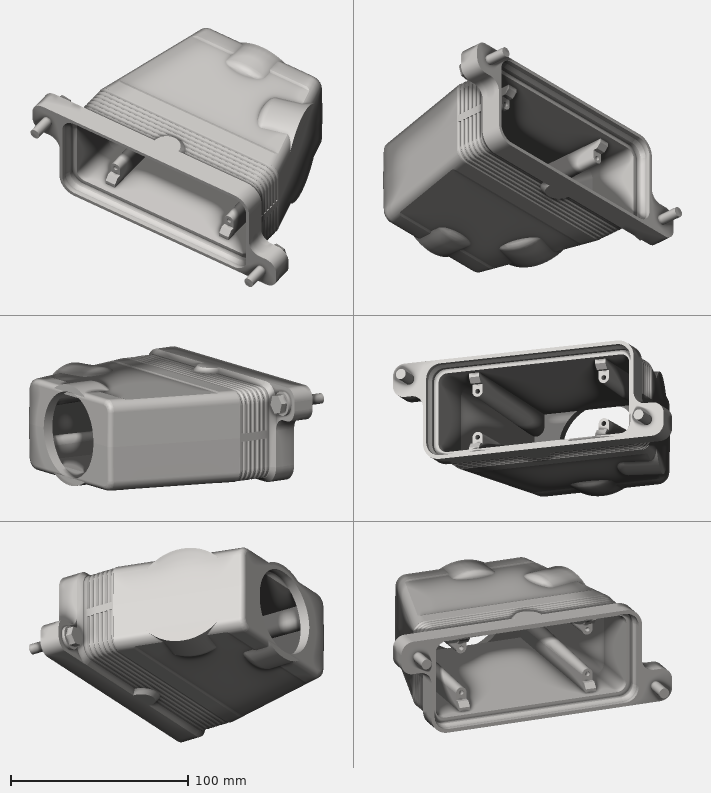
import math

import cadquery as cq


total_width = 165.5
total_height = 58.0
flange_width = 128.8
flange_thickness = 12.4
flange_corner_radius = 10.1
ear_height = 19.5
ear_corner_radius = 7.1

neck_width = 122.5
neck_height = 52.6
neck_corner_radius = 7.6
neck_end = 35.0
groove_count = 6
groove_band_length = 18.2
groove_depth = 0.7
groove_floor_width = 0.8
groove_start = 16.2
rib_free_strip = 4.6
bevel_angle = 45.0

side_angle = 15.0
draft_angle = 1.0
back = 110.2
hood_edge_radius = 6.6
back_edge_radius = 3.1
panel_depth = 0.5
panel_start = 43.4
panel_end = 99.1
panel_ramp = 1.7

boss_radius = total_height / 2
boss_blend_radius = 6.0
boss_cone_angle = 45.0
boss_core_radius = 21.5
back_boss_face = 109.5
back_boss_straight = 16.9
side_boss_straight = 19.5
side_boss_slope_distance = 41.5
side_boss_inset = 0.3
entry_hole_radius = 24.8

pad_radius = 8.0

lip_mouth_width = 124.8
lip_mouth_height = 53.6
lip_corner_radius = 8.5
lip_step = 1.3
lip_mouth_depth = 3.0
lip_ramp_depth = 2.6
lip_depth = 8.3
cavity_mouth_width = 116.5
cavity_mouth_height = 46.0
cavity_back_height = 41.7
cavity_bend = 38.7
cavity_bend_width = 114.5
cavity_edge_radius = 5.3
cavity_back = 104.3

post_x = 38.5
post_z = 13.4
post_face = 18.2
post_tip_radius = 3.1
post_base_radius = 5.0
post_root_z = 24.0
post_hole_diameter = 2.8
post_hole_depth = 10.0
tab_front = 12.9
tab_shelf_front = 15.5
tab_slope_start_z = 17.5
tab_slope_end_z = 20.5
tab_root = 26.5
wall_overlap = 1.7

screw_x = 72.7
screw_z = 19.4
screw_diameter = 6.0
screw_tip = -12.7
washer_diameter = 13.9
washer_thickness = 1.8
head_corner_diameter = 11.5
head_height = 3.8
head_turn = 48.5

overshoot = 3.3

half_width = total_width / 2
half_height = total_height / 2
neck_half_height = neck_height / 2
groove_pitch = groove_band_length / groove_count
slope = math.tan(math.radians(side_angle))
neck_chamfer = half_height - neck_half_height
side_normal = (math.cos(math.radians(side_angle)), math.sin(math.radians(side_angle)))


def across(y):
    """Plane across the hood axis; local x, y are X, Z. Negative extrusion goes toward +Y."""
    return cq.Workplane("XZ", origin=(0, y, 0))


def rounded_prism(width, height, radius, start, length, taper=0):
    """Rounded rectangle extruded toward +Y; a positive taper narrows it on the way."""
    outline = cq.Sketch().rect(width, height).vertices().fillet(radius)
    return across(start).placeSketch(outline).extrude(-length, taper=taper)


def box_between(x_size, z_size, y_start, y_end):
    """Centred block spanning y_start to y_end."""
    return across(y_start).rect(x_size, z_size).extrude(y_start - y_end)


def make_ear():
    """Upper left ear, reaching from the flange centre to the left end."""
    neck_x = -flange_width / 2
    ear_bottom = half_height - ear_height
    radius = ear_corner_radius
    ear = (
        across(0)
        .moveTo(0, half_height)
        .lineTo(-half_width, half_height)
        .lineTo(-half_width, ear_bottom)
        .lineTo(neck_x - radius, ear_bottom)
        .radiusArc((neck_x, ear_bottom - radius), radius)
        .lineTo(0, ear_bottom - radius)
        .close()
        .extrude(-flange_thickness)
    )
    return ear.edges("|Y and <X").fillet(radius)


def make_flange():
    plate = rounded_prism(flange_width, total_height, flange_corner_radius, 0, flange_thickness)
    ear = make_ear()
    opposite_ear = ear.rotate((0, 0, 0), (0, 1, 0), 180)
    transition = rounded_prism(
        flange_width, total_height, flange_corner_radius,
        flange_thickness, neck_chamfer, taper=bevel_angle,
    )
    return plate.union(ear).union(opposite_ear).union(transition)


def make_groove_cutter():
    """One trapezoidal groove around the neck, interrupted at the middle of both short sides."""
    floor_width = neck_width - 2 * groove_depth
    floor_height = neck_height - 2 * groove_depth
    floor_radius = neck_corner_radius - groove_depth
    floor_start = groove_depth
    floor_end = floor_start + groove_floor_width
    mouth = floor_end + groove_depth
    narrowing = rounded_prism(
        neck_width, neck_height, neck_corner_radius, 0, groove_depth, taper=bevel_angle
    )
    floor = rounded_prism(floor_width, floor_height, floor_radius, floor_start, groove_floor_width)
    widening = narrowing.mirror("XZ").translate((0, mouth, 0))
    waist = narrowing.union(floor).union(widening)
    frame = box_between(neck_width + overshoot, neck_height + overshoot, 0, mouth)
    strip = box_between(neck_width + 2 * overshoot, rib_free_strip, 0, mouth)
    return frame.cut(waist).cut(strip)


def make_neck():
    neck = rounded_prism(
        neck_width, neck_height, neck_corner_radius, flange_thickness, neck_end - flange_thickness
    )
    cutter = make_groove_cutter()
    mouth = groove_floor_width + 2 * groove_depth
    first = groove_start + (groove_pitch - mouth) / 2
    for index in range(groove_count):
        neck = neck.cut(cutter.translate((0, first + index * groove_pitch, 0)))
    return neck


def make_hood_half():
    """Upper half of the hood: drafted trapezoid with rounded edges."""
    start = neck_end - overshoot
    half_start = neck_width / 2 + overshoot * slope
    half_back = neck_width / 2 - (back - neck_end) * slope
    half = (
        cq.Workplane("XY")
        .polyline([(-half_start, start), (half_start, start), (half_back, back), (-half_back, back)])
        .close()
        .extrude(neck_half_height, taper=draft_angle)
    )
    half = half.faces(">Z").edges("not |X").fillet(hood_edge_radius)
    half = half.faces(">Y").edges("not <Z").fillet(back_edge_radius)
    return half.intersect(box_between(total_width, total_height, neck_end, back + overshoot))


def make_panel_cutter():
    """Shallow recess with ramped ends across the upper hood face."""
    floor_z = neck_half_height - panel_depth
    return (
        cq.Workplane("YZ", origin=(-half_width, 0, 0))
        .polyline([
            (panel_start, neck_half_height),
            (panel_start + panel_ramp, floor_z),
            (panel_end - panel_ramp, floor_z),
            (panel_end, neck_half_height),
        ])
        .close()
        .extrude(total_width)
    )


def make_hood():
    upper = make_hood_half().cut(make_panel_cutter())
    return upper.union(upper.mirror("XY"))


def make_boss(face_centre, outward, straight):
    """Cable entry boss: flat outer face, straight cylinder, then a blended cone going inward."""
    inward = (-outward[0], -outward[1], 0)
    plane = cq.Plane(origin=face_centre, xDir=(0, 0, 1), normal=(-inward[1], inward[0], 0))

    def blend_point(angle):
        angle = math.radians(angle)
        radius = boss_radius - boss_blend_radius * (1 - math.cos(angle))
        return radius, straight + boss_blend_radius * math.sin(angle)

    cone_radius, cone_start = blend_point(boss_cone_angle)
    cone_length = (cone_radius - boss_core_radius) / math.tan(math.radians(boss_cone_angle))
    cone_end = cone_start + cone_length
    return (
        cq.Workplane(plane)
        .lineTo(boss_radius, 0)
        .lineTo(boss_radius, straight)
        .threePointArc(blend_point(boss_cone_angle / 2), (cone_radius, cone_start))
        .lineTo(boss_core_radius, cone_end)
        .lineTo(0, cone_end)
        .close()
        .revolve(360, (0, 0), (0, 1))
    )


def make_side_boss():
    along_x = -side_normal[1] * side_boss_slope_distance - side_normal[0] * side_boss_inset
    along_y = side_normal[0] * side_boss_slope_distance - side_normal[1] * side_boss_inset
    face_centre = (neck_width / 2 + along_x, neck_end + along_y, 0)
    return make_boss(face_centre, side_normal, side_boss_straight)


def make_pad():
    """Conical pad rising from the neck to the flange height."""
    return (
        cq.Workplane("XY", origin=(0, flange_thickness, half_height))
        .circle(pad_radius)
        .extrude(-neck_chamfer, taper=-bevel_angle)
    )


def make_lip_recess():
    """Stepped seal recess around the mouth."""
    inner_width = lip_mouth_width - 2 * lip_step
    inner_height = lip_mouth_height - 2 * lip_step
    inner_radius = lip_corner_radius - lip_step
    ramp_angle = math.degrees(math.atan2(lip_step, lip_ramp_depth))
    mouth = rounded_prism(
        lip_mouth_width, lip_mouth_height, lip_corner_radius, 0, lip_mouth_depth
    )
    ramp = rounded_prism(
        lip_mouth_width, lip_mouth_height, lip_corner_radius,
        lip_mouth_depth, lip_ramp_depth, taper=ramp_angle,
    )
    inner = rounded_prism(inner_width, inner_height, inner_radius, 0, lip_depth)
    return mouth.union(ramp).union(inner)


def make_cavity(margin=0):
    """Inner space following the sloping sides, slightly lower toward the back.

    A margin widens and heightens it on every side, so that it reaches into the walls.
    """
    half_mouth = cavity_mouth_width / 2 + margin
    half_bend = cavity_bend_width / 2 + margin
    half_back = half_bend - (cavity_back - cavity_bend) * slope
    plan = (
        cq.Workplane("XY", origin=(0, 0, -half_height))
        .polyline([
            (-half_mouth, lip_depth), (half_mouth, lip_depth), (half_bend, cavity_bend),
            (half_back, cavity_back), (-half_back, cavity_back), (-half_bend, cavity_bend),
        ])
        .close()
        .extrude(total_height)
    )
    half_low = cavity_mouth_height / 2 + margin
    half_deep = cavity_back_height / 2 + margin
    profile = (
        cq.Workplane("YZ", origin=(-half_width, 0, 0))
        .polyline([
            (lip_depth, -half_low), (cavity_back, -half_deep),
            (cavity_back, half_deep), (lip_depth, half_low),
        ])
        .close()
        .extrude(total_width)
    )
    cavity = plan.intersect(profile)
    return cavity.edges("not (|X or |Z)").fillet(cavity_edge_radius)


def post_outline(plane, radius):
    """Round-ended outline running into the upper wall."""
    return (
        plane
        .moveTo(post_x - radius, post_root_z)
        .lineTo(post_x - radius, post_z)
        .threePointArc((post_x, post_z - radius), (post_x + radius, post_z))
        .lineTo(post_x + radius, post_root_z)
        .close()
    )


def make_post():
    """Drafted screw post at +X, +Z with a stepped, sloped tab next to the wall."""
    tip = post_outline(across(post_face), post_tip_radius).wires().val()
    base = post_outline(across(cavity_back), post_base_radius).wires().val()
    post = cq.Workplane(cq.Solid.makeLoft([tip, base], True))
    tab = (
        cq.Workplane("YZ", origin=(post_x - post_tip_radius, 0, 0))
        .polyline([
            (tab_root, tab_slope_start_z), (tab_shelf_front, tab_slope_start_z),
            (tab_front, tab_slope_end_z), (tab_front, post_root_z), (tab_root, post_root_z),
        ])
        .close()
        .extrude(2 * post_tip_radius)
    )
    hole = (
        across(post_face).center(post_x, post_z)
        .circle(post_hole_diameter / 2).extrude(-post_hole_depth)
    )
    return post.union(tab).cut(hole).intersect(make_cavity(margin=wall_overlap))


def make_screw(x, z):
    """Hexagon screw with washer, passing through an ear."""
    washer_top = flange_thickness + washer_thickness
    shank = across(screw_tip).center(x, z).circle(screw_diameter / 2).extrude(screw_tip - washer_top)
    washer = (
        across(flange_thickness).center(x, z)
        .circle(washer_diameter / 2).extrude(-washer_thickness)
    )
    head = (
        across(washer_top)
        .polygon(6, head_corner_diameter).extrude(-head_height)
        .rotate((0, 0, 0), (0, -1, 0), head_turn)
        .translate((x, 0, z))
    )
    return shank.union(washer).union(head)


pad = make_pad()
back_boss = make_boss((0, back_boss_face, 0), (0, 1), back_boss_straight)

shell = make_flange().union(make_neck()).union(make_hood())
shell = shell.union(back_boss).union(make_side_boss())
shell = shell.union(pad).union(pad.mirror("XY"))

entry_hole = across(cavity_back).circle(entry_hole_radius).extrude(cavity_back - back - overshoot)
shell = shell.cut(make_lip_recess()).cut(make_cavity())

upper_right_post = make_post()
right_posts = upper_right_post.union(upper_right_post.mirror("XY"))
result = shell.union(right_posts).union(right_posts.mirror("YZ"))
result = result.cut(entry_hole)

for side in (-1, 1):
    result = result.union(make_screw(side * screw_x, -side * screw_z))